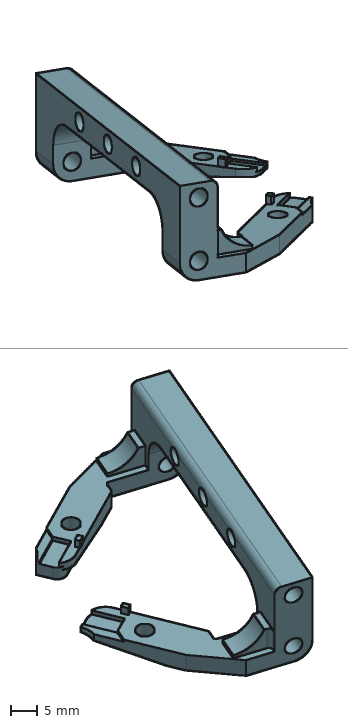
import cadquery as cq
import math

width = 66.0
bar_depth = 8.0
height = 20.0
leg_width = 8.0
opening_top = 14.0
opening_radius = 6.0
foot_radius = 4.0
top_back_radius = 1.5

hole_diameter = 3.7
bar_hole_z = 17.0
bar_hole_pitch = 13.0
pin_hole_y = bar_depth / 2
pin_hole_z = foot_radius
side_hole_depth = 10.0

plate = 4.0
arm_angle = 45.0
arm_half_width = 4.0
arm_end = 12.0
arm_hole_x = -17.0
arm_hole_y = 28.0
arm_root_y = bar_depth / 2
arm_shoulder_y = 14.0
arm_elbow_x = -26.8
arm_step_y = 17.0
step_fillet = 0.5
tip_radius = 4.0
tip_relief_offset = 8.0
left_relief_radius = 5.04
right_relief_radius = 5.3

channel_start = 4.8
channel_inner = -1.8
channel_outer = 2.0
channel_floor = 3.0
outer_strip_top = 3.5

peg_start = 4.5
peg_overhang = 0.1
peg_length = 1.5
peg_thickness = 1.1
peg_top = 5.75

taper_start = -6.0
taper_limit = -12.0
taper_angle = math.degrees(math.atan(1 / 8))
bevel_hinge = -2.4
bevel_angle = 18.0

pad_inset = 1.1
pad_corner_radius = 2.1

gusset_outer_x = -31.5
gusset_inner_x = -26.5
gusset_crest_y = 9.5
gusset_end_y = 16.0
gusset_top = 8.95
gusset_end_top = 4.75
gusset_radius = 7.1
flare_radius = 0.9

half_width = width / 2
leg_inner_x = half_width - leg_width
cutter_size = 60.0


def cylinder_along(axis, center, diameter, length):
    """Round cutter that starts at center and runs along axis."""
    return cq.Workplane(cq.Solid.makeCylinder(diameter / 2, length, cq.Vector(*center), cq.Vector(*axis)))


def make_crossbar():
    bar = cq.Workplane("XY").box(width, bar_depth, height, centered=(True, False, False))
    bar = bar.edges("|X and <Y and <Z").fillet(foot_radius)
    bar = bar.edges("|X and >Y and >Z").fillet(top_back_radius)
    opening = (
        cq.Workplane("XY")
        .box(2 * leg_inner_x, bar_depth, opening_top, centered=(True, False, False))
        .edges("|Y and >Z")
        .fillet(opening_radius)
    )
    return bar.cut(opening)


def drill_crossbar(body):
    for step in (-1, 0, 1):
        center = (step * bar_hole_pitch, 0, bar_hole_z)
        body = body.cut(cylinder_along((0, 1, 0), center, hole_diameter, bar_depth))
    for side in (-1, 1):
        center = (side * half_width, pin_hole_y, bar_hole_z)
        body = body.cut(cylinder_along((-side, 0, 0), center, hole_diameter, side_hole_depth))
    pin_start = (-half_width, pin_hole_y, pin_hole_z)
    return body.cut(cylinder_along((1, 0, 0), pin_start, hole_diameter, width))


def arm_point(along, across):
    """Plan position of a point given along and across the left arm, measured from its hole."""
    turn = math.radians(arm_angle)
    return (
        arm_hole_x + along * math.cos(turn) - across * math.sin(turn),
        arm_hole_y + along * math.sin(turn) + across * math.cos(turn),
    )


def place_on_arm(shape):
    """Move a shape built along +X at the origin onto the left arm."""
    turned = shape.rotate((0, 0, 0), (0, 0, 1), arm_angle)
    return turned.translate((arm_hole_x, arm_hole_y, 0))


def arm_block(along, across, z_range):
    """Box aligned with the left arm, from (low, high) ranges."""
    block = cq.Workplane("XY").box(
        along[1] - along[0], across[1] - across[0], z_range[1] - z_range[0], centered=False
    )
    return place_on_arm(block.translate((along[0], across[0], z_range[0])))


def make_arm_plate():
    side_offset = arm_half_width / math.cos(math.radians(arm_angle))
    inner_line = arm_hole_y - arm_hole_x - side_offset
    outer_line = arm_hole_y - arm_hole_x + side_offset
    step_end_x = arm_step_y - inner_line
    outline = [
        (-half_width, arm_root_y),
        (-half_width, arm_shoulder_y),
        (arm_elbow_x, arm_elbow_x + outer_line),
        arm_point(arm_end, arm_half_width),
        arm_point(arm_end, -arm_half_width),
        (step_end_x, arm_step_y),
        (-leg_inner_x, arm_step_y),
        (-leg_inner_x, arm_root_y),
    ]
    arm = cq.Workplane("XY").polyline(outline).close().extrude(plate)
    tip_corner = arm_point(arm_end, -arm_half_width)
    arm = arm.edges(cq.NearestToPointSelector((*tip_corner, plate / 2))).fillet(tip_radius)
    for corner_x in (-leg_inner_x, step_end_x):
        corner = (corner_x, arm_step_y, plate / 2)
        arm = arm.edges(cq.NearestToPointSelector(corner)).fillet(step_fillet)
    return arm


def cut_round_openings(arm, relief_radius):
    """Cut the arm hole and the concave relief beside the tip."""
    arm = arm.cut(cylinder_along((0, 0, 1), (arm_hole_x, arm_hole_y, 0), hole_diameter, plate))
    relief_center = (*arm_point(arm_end, tip_relief_offset), 0)
    return arm.cut(cylinder_along((0, 0, 1), relief_center, 2 * relief_radius, plate))


def cut_tip_levels(arm):
    """Cut the channel and the outer strip into the top of the tip."""
    across = (channel_inner, channel_outer)
    arm = arm.cut(arm_block((channel_start, arm_end), across, (channel_floor, plate)))
    strip = arm_block((0, arm_end), (channel_outer, arm_half_width), (outer_strip_top, plate))
    step_y = arm_point(channel_start, channel_outer)[1]
    behind_step = cq.Workplane("XY").box(cutter_size, cutter_size, cutter_size, centered=(True, False, True))
    return arm.cut(strip.intersect(behind_step.translate((arm_hole_x, step_y, 0))))


def make_peg():
    along = (peg_start, peg_start + peg_length)
    peg_inner = -arm_half_width - peg_overhang
    return arm_block(along, (peg_inner, peg_inner + peg_thickness), (plate, peg_top))


def slope_cutter():
    """Half space below the tapered underside, in arm coordinates."""
    below = cq.Workplane("XY").box(cutter_size, cutter_size, cutter_size)
    below = below.translate((taper_start, 0, -cutter_size / 2))
    return below.rotate((taper_start, 0, 0), (taper_start, 1, 0), -taper_angle)


def bevel_cutter():
    """The same half space, tipped up towards the inner edge of the arm."""
    rise = math.tan(math.radians(taper_angle))
    hinge_start = (taper_start, bevel_hinge, 0)
    hinge_end = (taper_start + 1, bevel_hinge, rise)
    return slope_cutter().rotate(hinge_start, hinge_end, -bevel_angle)


def cut_underside(arm, cutter):
    """Cut only the inclined run of the arm, not its leg end."""
    run = arm_block((taper_limit, arm_end), (-arm_half_width, arm_half_width), (0, plate))
    return arm.cut(place_on_arm(cutter).intersect(run))


def make_pad(relief_radius):
    """Block on Z = 0 under the tapered run, set back from the inner side of the arm."""
    across = (-arm_half_width + pad_inset, arm_half_width)
    pad = arm_block((taper_start, arm_end), across, (0, channel_floor))
    corner = (*arm_point(arm_end, across[0]), channel_floor / 2)
    pad = pad.edges(cq.NearestToPointSelector(corner)).fillet(pad_corner_radius)
    return cut_round_openings(pad, relief_radius)


def make_gusset():
    gusset = (
        cq.Workplane("YZ", origin=(gusset_outer_x, 0, 0))
        .moveTo(arm_root_y, plate / 2)
        .lineTo(arm_root_y, gusset_top)
        .lineTo(gusset_crest_y, gusset_top)
        .radiusArc((gusset_end_y, gusset_end_top), -gusset_radius)
        .lineTo(gusset_end_y, plate / 2)
        .close()
    )
    return gusset.extrude(gusset_inner_x - gusset_outer_x)


def make_gusset_flare():
    """Concave fillet joining the outer side of the left gusset to the back of the bar."""
    flare = (
        cq.Workplane("XY", origin=(0, 0, plate / 2))
        .moveTo(gusset_outer_x, bar_depth)
        .lineTo(gusset_outer_x, bar_depth + flare_radius)
        .radiusArc((gusset_outer_x - flare_radius, bar_depth), flare_radius)
        .close()
    )
    return flare.extrude(gusset_top - plate / 2)


def make_arm(relief_radius):
    arm = cut_tip_levels(cut_round_openings(make_arm_plate(), relief_radius))
    arm = cut_underside(arm, slope_cutter())
    return arm.union(make_peg()).union(make_gusset())


left_arm = cut_underside(make_arm(left_relief_radius), bevel_cutter()).union(make_gusset_flare())
right_arm = make_arm(right_relief_radius).union(make_pad(right_relief_radius)).mirror("YZ")
result = drill_crossbar(make_crossbar().union(left_arm).union(right_arm))